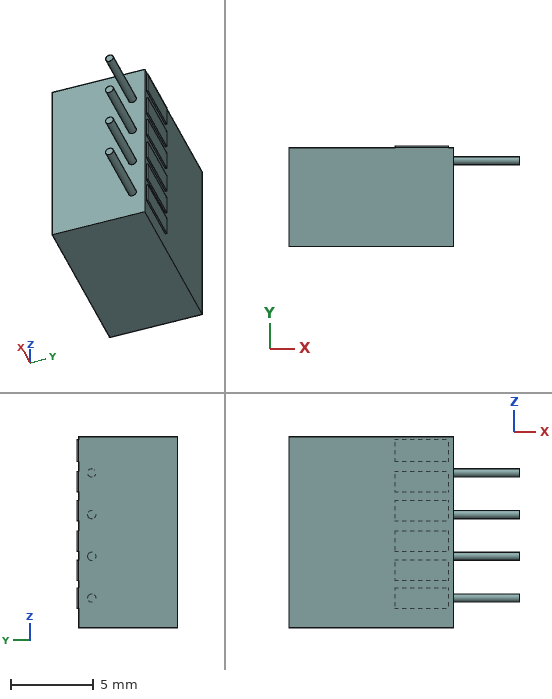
import cadquery as cq

total_length = 14.0
pin_length = 4.0
case_depth = 6.0
case_height = 11.6

pin_diameter = 0.5
pin_pitch = 2.53
pin_count = 4
pin_row_offset = -0.2
pin_inset = 0.8

pad_thickness = 0.1
pad_length = 3.26
pad_margin = 0.3
top_pad_height = 1.35
pad_height = 1.25
top_pad_center = 4.95
pad_centers = (3.08, 1.32, -0.53, -2.31, -4.0)

case_length = total_length - pin_length


def make_case():
    """Plain block from X = 0 and Y = 0, centred on Z = 0."""
    return cq.Workplane("XY").box(
        case_length, case_depth, case_height, centered=(False, False, True)
    )


def make_pins():
    """Row of round pins leaving the +X face."""
    pin_y = case_depth - pin_inset
    first_z = pin_row_offset - pin_pitch * (pin_count - 1) / 2
    pin_points = [(pin_y, first_z + i * pin_pitch) for i in range(pin_count)]
    return (
        cq.Workplane("YZ", origin=(case_length, 0, 0))
        .pushPoints(pin_points)
        .circle(pin_diameter / 2)
        .extrude(pin_length)
    )


def make_pad(center_z, height):
    """Thin pad standing on the back (+Y) face."""
    pad_start = case_length - pad_margin - pad_length
    return (
        cq.Workplane("XY")
        .box(pad_length, pad_thickness, height, centered=(False, False, True))
        .translate((pad_start, case_depth, center_z))
    )


result = make_case().union(make_pins())
result = result.union(make_pad(top_pad_center, top_pad_height))
for center_z in pad_centers:
    result = result.union(make_pad(center_z, pad_height))